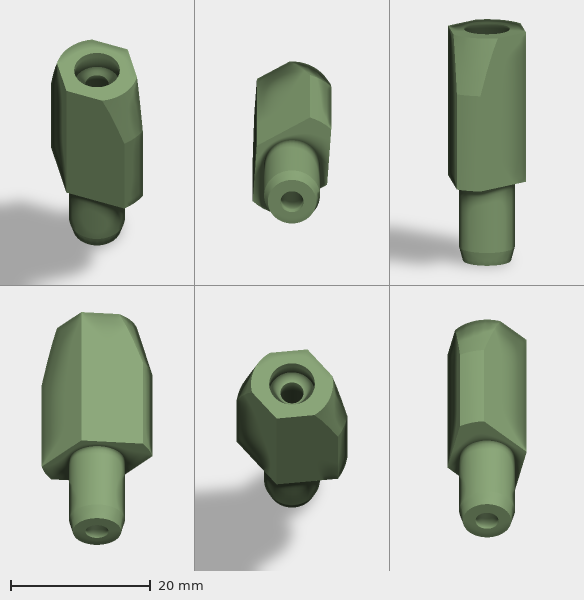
import cadquery as cq
import math

total_height = 34.0
body_height = 22.0
body_diameter = 16.0
body_depth = 11.8
flank_angle = 27.8

taper_angle = 15.0
body_taper_height = 8.0
tip_taper_height = 2.0

pin_diameter = 8.0
counterbore_diameter = 6.53
counterbore_depth = 3.0
hole_diameter = 3.3

pin_length = total_height - body_height
taper_slope = math.tan(math.radians(taper_angle))


def make_body():
    """Round body with a conical top, cut to a diamond by four flat flanks."""
    radius = body_diameter / 2
    top_radius = radius - body_taper_height * taper_slope
    profile = [
        (0, pin_length),
        (radius, pin_length),
        (radius, total_height - body_taper_height),
        (top_radius, total_height),
        (0, total_height),
    ]
    turned = cq.Workplane("XZ").polyline(profile).close().revolve(360, (0, 0), (0, 1))

    half_depth = body_depth / 2
    half_diagonal = half_depth / math.tan(math.radians(flank_angle))
    diamond = (
        cq.Workplane("XY")
        .polyline([(half_diagonal, 0), (0, half_depth), (-half_diagonal, 0), (0, -half_depth)])
        .close()
        .extrude(total_height)
    )
    return turned.intersect(diamond)


def make_pin():
    """Round pin below the body, with a tapered tip."""
    radius = pin_diameter / 2
    tip_radius = radius - tip_taper_height * taper_slope
    profile = [
        (0, 0),
        (tip_radius, 0),
        (radius, tip_taper_height),
        (radius, pin_length),
        (0, pin_length),
    ]
    return cq.Workplane("XZ").polyline(profile).close().revolve(360, (0, 0), (0, 1))


through_hole = cq.Workplane("XY").circle(hole_diameter / 2).extrude(total_height)
counterbore = (
    cq.Workplane("XY")
    .workplane(offset=total_height - counterbore_depth)
    .circle(counterbore_diameter / 2)
    .extrude(counterbore_depth)
)

result = make_body().union(make_pin()).cut(through_hole).cut(counterbore)